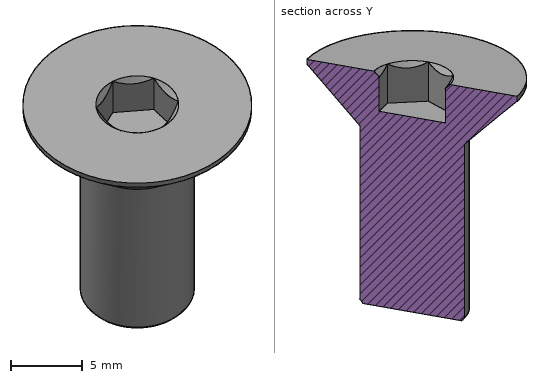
import cadquery as cq
import math

total_length = 18
head_diameter = 16.0
shank_diameter = head_diameter / 2
rim_height = 0.4
head_radius = head_diameter / 2
shank_radius = shank_diameter / 2

tip_chamfer_height = 0.32
tip_chamfer_width = 0.25

socket_width = 5.0
socket_depth = 3.0
corner_diameter = socket_width / math.cos(math.pi / 6)
lead_in_angle = 45

cone_height = head_radius - shank_radius
rim_bottom = total_length - rim_height
neck = rim_bottom - cone_height


def screw_body():
    """Revolve the half profile of head and shank about Z."""
    return (
        cq.Workplane("XZ")
        .moveTo(0, 0)
        .lineTo(shank_radius - tip_chamfer_width, 0)
        .lineTo(shank_radius, tip_chamfer_height)
        .lineTo(shank_radius, neck)
        .lineTo(head_radius, rim_bottom)
        .lineTo(head_radius, total_length)
        .lineTo(0, total_length)
        .close()
        .revolve(360, (0, 0, 0), (0, 1, 0))
    )


def hex_socket():
    """Hexagonal prism with two corners on the Y axis."""
    return (
        cq.Workplane("XY", origin=(0, 0, total_length - socket_depth))
        .polygon(6, corner_diameter)
        .extrude(socket_depth)
        .rotate((0, 0, 0), (0, 0, 1), 90)
    )


def lead_in():
    """Cone that meets the hexagon corners at the top face."""
    radius = corner_diameter / 2
    depth = radius / math.tan(math.radians(lead_in_angle))
    cone = cq.Solid.makeCone(radius, 0, depth, cq.Vector(0, 0, total_length), cq.Vector(0, 0, -1))
    return cq.Workplane(obj=cone)


result = screw_body().cut(hex_socket()).cut(lead_in())